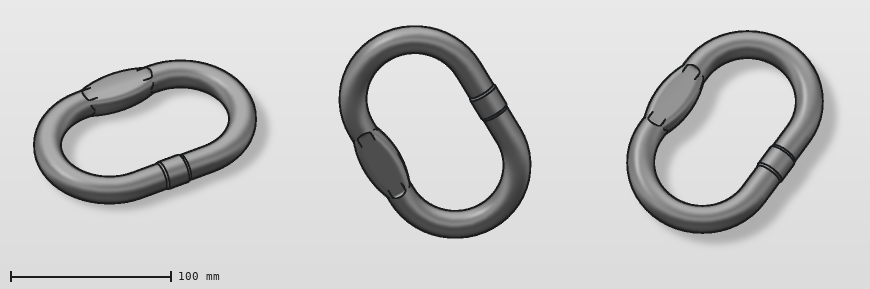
import cadquery as cq
import math

BAR_DIAMETER = 17.0
INNER_WIDTH = 60.0
STRAIGHT_LENGTH = 50.0

COLLAR_DIAMETER = 18.28
COLLAR_LENGTH = 17.0
COLLAR_RIM_LENGTH = 13.6

FLAT_HALF_HEIGHT = 7.1
FLAT_LENGTH = 44.0
FLAT_END_FILLET = 1.6
RAMP_ANGLE = 45.0
BULGE_HALF_WIDTH = 11.9
BULGE_SIDE_RADIUS = 58.0
BULGE_CORNER_RADIUS = 4.65

bar_radius = BAR_DIAMETER / 2
bend_radius = INNER_WIDTH / 2 + bar_radius
half_straight = STRAIGHT_LENGTH / 2


def make_link():
    """Round bar swept around the closed oval centre line."""
    path = (
        cq.Workplane("XY")
        .moveTo(bend_radius, -half_straight)
        .lineTo(bend_radius, half_straight)
        .threePointArc((0, half_straight + bend_radius), (-bend_radius, half_straight))
        .lineTo(-bend_radius, -half_straight)
        .threePointArc((0, -half_straight - bend_radius), (bend_radius, -half_straight))
        .close()
    )
    start = cq.Workplane("XZ", origin=(bend_radius, -half_straight, 0))
    return start.circle(bar_radius).sweep(path)


def make_collar():
    """Slightly raised ring with conical ends, coaxial with the +X straight."""
    collar_radius = COLLAR_DIAMETER / 2
    profile = (
        cq.Workplane("XY", origin=(bend_radius, 0, 0))
        .moveTo(0, -COLLAR_LENGTH / 2)
        .lineTo(bar_radius, -COLLAR_LENGTH / 2)
        .lineTo(collar_radius, -COLLAR_RIM_LENGTH / 2)
        .lineTo(collar_radius, COLLAR_RIM_LENGTH / 2)
        .lineTo(bar_radius, COLLAR_LENGTH / 2)
        .lineTo(0, COLLAR_LENGTH / 2)
        .close()
    )
    return profile.revolve(360, (0, 0, 0), (0, 1, 0))


def make_flat_cutter():
    """Material above the upper flat, with 45 degree end ramps blended into the flat."""
    cutter_height = BAR_DIAMETER - FLAT_HALF_HEIGHT
    half_length = FLAT_LENGTH / 2
    half_top = half_length + cutter_height / math.tan(math.radians(RAMP_ANGLE))
    return (
        cq.Workplane("YZ", origin=(-bend_radius, 0, 0))
        .moveTo(-half_length, FLAT_HALF_HEIGHT)
        .lineTo(half_length, FLAT_HALF_HEIGHT)
        .lineTo(half_top, BAR_DIAMETER)
        .lineTo(-half_top, BAR_DIAMETER)
        .close()
        .extrude(bar_radius, both=True)
        .faces("<Z")
        .edges("|X")
        .fillet(FLAT_END_FILLET)
    )


def make_bulge():
    """Barrel-shaped block whose arched sides emerge from the bar, with rounded corners."""
    half_length = FLAT_LENGTH / 2
    side_drop = BULGE_SIDE_RADIUS - math.sqrt(BULGE_SIDE_RADIUS**2 - half_length**2)
    end_half_width = BULGE_HALF_WIDTH - side_drop
    block = (
        cq.Workplane("XY", origin=(-bend_radius, 0, 0))
        .moveTo(-end_half_width, -half_length)
        .lineTo(end_half_width, -half_length)
        .threePointArc((BULGE_HALF_WIDTH, 0), (end_half_width, half_length))
        .lineTo(-end_half_width, half_length)
        .threePointArc((-BULGE_HALF_WIDTH, 0), (-end_half_width, -half_length))
        .close()
        .extrude(FLAT_HALF_HEIGHT, both=True)
    )
    return block.faces("|Z").edges("%CIRCLE").fillet(BULGE_CORNER_RADIUS)


upper_cutter = make_flat_cutter()
lower_cutter = upper_cutter.mirror("XY")
pressed_link = make_link().cut(upper_cutter).cut(lower_cutter)
result = pressed_link.union(make_bulge()).union(make_collar())